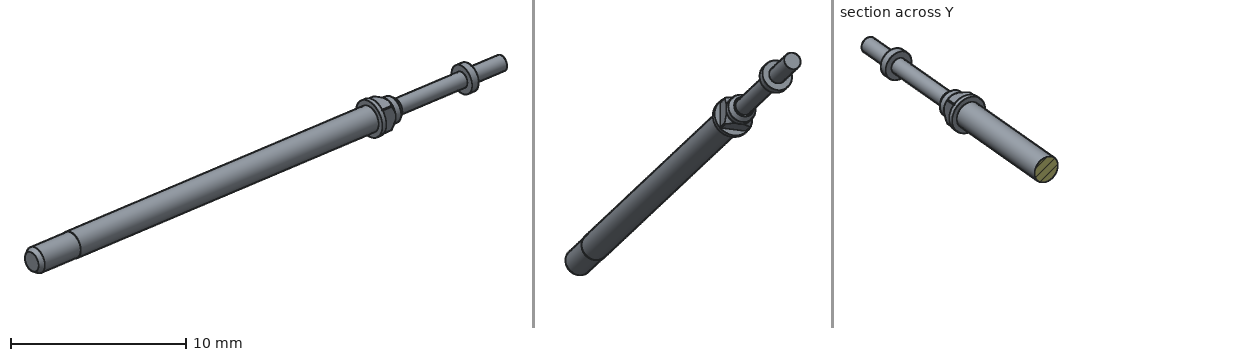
import cadquery as cq

total_length = 35.5
collar_start = 2.5
collar_length = 0.5
nose_start = 8.0
nose_length = 0.3
square_start = 8.7
square_taper_length = 0.3
flange_start = 9.7
flange_length = 0.3
end_section_length = 3.0
end_chamfer_length = 0.3

plunger_diameter = 1.0
collar_diameter = 1.8
nose_diameter = 1.2
barrel_diameter = 1.65
end_section_diameter = 1.6
end_face_diameter = 1.2
flange_diameter = 2.3
square_width = 1.6
square_corner_diameter = 2.2


def frustum(start, length, start_diameter, end_diameter):
    """Tapered round section about the Y axis, running toward -Y from the given station."""
    profile = [
        (0, -start),
        (start_diameter / 2, -start),
        (end_diameter / 2, -(start + length)),
        (0, -(start + length)),
    ]
    return cq.Workplane("XY").polyline(profile).close().revolve(360, (0, 0), (0, 1))


def cylinder(start, end, diameter):
    """Straight round section between two axial stations."""
    return frustum(start, end - start, diameter, diameter)


def make_plunger():
    """Thin rod carrying a collar."""
    rod = cylinder(0, nose_start, plunger_diameter)
    collar = cylinder(collar_start, collar_start + collar_length, collar_diameter)
    return rod.union(collar)


def make_square():
    """Square wrench section with its corners turned to a cone and a cylinder."""
    taper_end = square_start + square_taper_length
    length = flange_start - square_start
    prism = cq.Workplane("XY").box(square_width, length, square_width)
    prism = prism.translate((0, -(square_start + length / 2), 0))
    taper = frustum(square_start, square_taper_length, barrel_diameter, square_corner_diameter)
    envelope = taper.union(cylinder(taper_end, flange_start, square_corner_diameter))
    return prism.intersect(envelope)


def make_barrel():
    """Tapered nose, round neck, square section, flange, long body and slimmer chamfered end."""
    nose_end = nose_start + nose_length
    flange_end = flange_start + flange_length
    end_section_start = total_length - end_section_length
    chamfer_start = total_length - end_chamfer_length
    nose = frustum(nose_start, nose_length, nose_diameter, barrel_diameter)
    neck = cylinder(nose_end, square_start, barrel_diameter)
    flange = cylinder(flange_start, flange_end, flange_diameter)
    body = cylinder(flange_end, end_section_start, barrel_diameter)
    end_section = cylinder(end_section_start, chamfer_start, end_section_diameter)
    tip = frustum(chamfer_start, end_chamfer_length, end_section_diameter, end_face_diameter)
    barrel = nose.union(neck).union(make_square()).union(flange).union(body)
    return barrel.union(end_section).union(tip)


result = make_plunger().union(make_barrel())